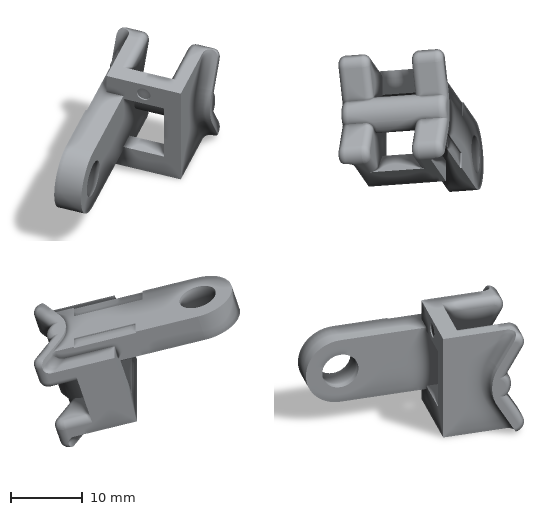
import cadquery as cq
import math


overall_length = 28.9
overall_width = 15.0
height = 16.0

channel_width = 11.0
channel_gap = 6.0
base_front_y = 12.48
base_back_y = 15.0
window_height = 9.0
edge_radius = 1.0

pin_diameter = 5.0
pin_y = 19.5

flange_lean = math.radians(30)
flange_thickness = 2.0
flange_bend_radius = 6.0
tip_radius = 1.5

arm_width = 10.0
arm_thickness = 4.0
eye_diameter = 5.25
arm_blend_radius = 0.5
arm_embed = 0.9

mark_depth = 0.2
panel_height = 2.17
panel_back_y = 18.0
upper_panel_length = 10.0
lower_panel_length = 9.0
disc_radius = 1.0
disc_z = 6.25

half_height = height / 2
wall_inner_x = channel_gap / 2
wall_outer_x = channel_width / 2
flange_outer_x = overall_width / 2
arm_outer_x = wall_inner_x + arm_thickness
arm_half = arm_width / 2
pin_radius = pin_diameter / 2

tip_setback = tip_radius * (1 / math.tan(flange_lean) - 1)
sharp_tip_y = overall_length - arm_half + tip_setback
v_back_y = sharp_tip_y - half_height * math.tan(flange_lean)
v_front_y = v_back_y - flange_thickness / math.cos(flange_lean)
bend_center_y = v_front_y + flange_bend_radius / math.cos(flange_lean)


def front_line_y(z):
    """Y of the straight front side of the flange at height z."""
    return v_front_y + abs(z) * math.tan(flange_lean)


def block(x0, x1, y0, y1, z0, z1):
    """Box between two opposite corners."""
    return cq.Workplane("XY").box(x1 - x0, y1 - y0, z1 - z0, centered=False).translate((x0, y0, z0))


def x_cylinder(radius, y, x0, x1):
    """Cylinder along X at mid height."""
    return cq.Workplane("YZ", origin=(x0, 0, 0)).center(y, 0).circle(radius).extrude(x1 - x0)


def make_wall_plate():
    """Plate as thick as wall and flange, with a V-shaped back and rounded edges."""
    plate_depth = flange_outer_x - wall_inner_x
    upper_half = (
        cq.Workplane("YZ", origin=(wall_inner_x, 0, 0))
        .moveTo(base_front_y, 0)
        .lineTo(v_back_y, 0)
        .lineTo(sharp_tip_y, half_height)
        .lineTo(base_front_y, half_height)
        .close()
        .extrude(plate_depth)
        .edges("|X and >Y")
        .fillet(tip_radius)
    )
    upper_half = upper_half.faces("<X or >X").edges("not(<Y or <Z)").fillet(edge_radius)
    return upper_half.union(upper_half.mirror("XY"))


def make_flange_relief():
    """Space in front of the flange. Its rounded rim leaves a hollow fillet at the wall."""
    bend_z = flange_bend_radius * math.sin(flange_lean)
    clearance = 2 * edge_radius
    front_y = base_front_y - clearance
    top_z = half_height + clearance
    return (
        cq.Workplane("YZ", origin=(wall_outer_x, 0, 0))
        .moveTo(front_y, -top_z)
        .lineTo(front_line_y(top_z), -top_z)
        .lineTo(front_line_y(bend_z), -bend_z)
        .threePointArc((bend_center_y - flange_bend_radius, 0), (front_line_y(bend_z), bend_z))
        .lineTo(front_line_y(top_z), top_z)
        .lineTo(front_y, top_z)
        .close()
        .extrude(flange_outer_x)
        .faces("<X")
        .edges("not(<Y or <Z or >Z)")
        .fillet(edge_radius)
    )


def make_wall():
    """Wall on the +X side: plate, rounded pin end and the step down to wall thickness."""
    pin_end = x_cylinder(pin_radius, pin_y, wall_inner_x, flange_outer_x)
    pin_end = pin_end.faces(">X").edges().fillet(edge_radius)
    return make_wall_plate().union(pin_end).cut(make_flange_relief())


def make_channel():
    """Two mirrored walls joined by the base and the pin, with a window in the base."""
    wall = make_wall()
    base = block(-wall_outer_x, wall_outer_x, base_front_y, base_back_y, -half_height, half_height)
    window = block(
        -wall_inner_x, wall_inner_x, base_front_y, base_back_y, -window_height / 2, window_height / 2
    )
    pin = x_cylinder(pin_radius, pin_y, -wall_outer_x, wall_outer_x)
    return base.union(wall).union(wall.mirror("YZ")).union(pin).cut(window)


def make_gusset():
    """45 degree gusset inside the channel, from the window's lower side to the channel's lower end."""
    gusset_leg = half_height - window_height / 2
    return (
        cq.Workplane("YZ", origin=(-wall_outer_x, 0, 0))
        .moveTo(base_front_y, -half_height)
        .lineTo(base_back_y + gusset_leg, -half_height)
        .lineTo(base_back_y, -window_height / 2)
        .lineTo(base_front_y, -window_height / 2)
        .close()
        .extrude(channel_width)
    )


def make_arm():
    """Arm with a rounded front end. Its back end follows the V of the flange."""
    end_shift = arm_embed / math.cos(flange_lean)
    return (
        cq.Workplane("YZ", origin=(-arm_outer_x, 0, 0))
        .moveTo(0, arm_half)
        .threePointArc((-arm_half, 0), (0, -arm_half))
        .lineTo(front_line_y(arm_half) + end_shift, -arm_half)
        .lineTo(v_front_y + end_shift, 0)
        .lineTo(front_line_y(arm_half) + end_shift, arm_half)
        .close()
        .extrude(arm_thickness)
    )


def make_arm_blends():
    """Hollow fillets in the corners where the arm's upper and lower sides meet the flange."""
    corner_y = front_line_y(arm_half)
    half_angle = (math.pi / 2 + flange_lean) / 2
    tangent_length = arm_blend_radius / math.tan(half_angle)
    start_y = corner_y - tangent_length
    end_y = corner_y + tangent_length * math.sin(flange_lean)
    end_z = arm_half + tangent_length * math.cos(flange_lean)
    middle_y = start_y + arm_blend_radius * math.cos(half_angle)
    middle_z = arm_half + arm_blend_radius * (1 - math.sin(half_angle))
    upper = (
        cq.Workplane("YZ", origin=(-arm_outer_x, 0, 0))
        .moveTo(start_y, arm_half)
        .threePointArc((middle_y, middle_z), (end_y, end_z))
        .lineTo(end_y, arm_half)
        .close()
        .extrude(arm_outer_x - wall_outer_x)
    )
    return upper.union(upper.mirror("XY"))


def make_marking_recesses():
    """Two panels on the outer face of the arm and a disc on the front of the base."""
    panel_x = -arm_outer_x + mark_depth
    upper = block(
        -arm_outer_x, panel_x, panel_back_y - upper_panel_length, panel_back_y,
        arm_half - panel_height, arm_half,
    )
    lower = block(
        -arm_outer_x, panel_x, panel_back_y - lower_panel_length, panel_back_y,
        -arm_half, panel_height - arm_half,
    )
    disc = (
        cq.Workplane("XZ", origin=(0, base_front_y, disc_z))
        .circle(disc_radius)
        .extrude(-mark_depth)
    )
    return upper.union(lower).union(disc)


eye = x_cylinder(eye_diameter / 2, 0, -arm_outer_x, -wall_inner_x)
result = make_channel().union(make_gusset()).union(make_arm()).union(make_arm_blends())
result = result.cut(eye).cut(make_marking_recesses())